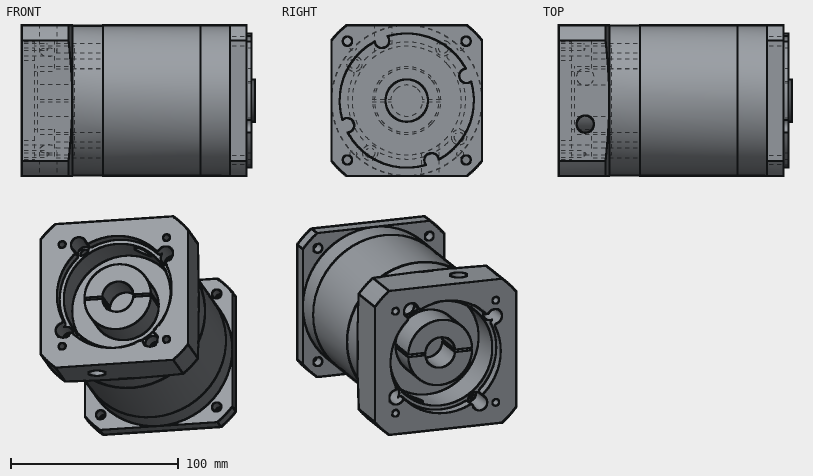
import cadquery as cq
import math


PLATE_END = 30.2
RING_START = 48.4
COVER_START = 106.5
FLANGE_START = 124.1
PILOT_START = 134.1
BOSS_START = 137.0
OVERALL_LENGTH = 139.0

SQUARE_WIDTH = 90.0
BODY_RADIUS = SQUARE_WIDTH / 2
CORNER_RADIUS = 57.5

CONE_START = 28.0
HOUSING_RADIUS = 44.8
MOTOR_PILOT_RADIUS = 35.0
MOTOR_PILOT_DEPTH = 7.8
ADAPTER_BORE_RADIUS = 32.5
ADAPTER_BORE_DEPTH = 31.4
BOLT_CIRCLE_RADIUS = 38.1
BOLT_PATTERN_TWIST = 10.0
BOLT_HOLE_RADIUS = 2.9
BOLT_HEAD_RADIUS = 4.6
BOLT_HEAD_DEPTH = 19.5
BOLT_POCKET_FILLET = 1.5
MOTOR_HOLE_CIRCLE_RADIUS = 45.0
MOTOR_HOLE_RADIUS = 2.1
MOTOR_HOLE_DEPTH = 15.0
DRILL_TIP_ANGLE = 118.0
ACCESS_HOLE_X = 15.8
ACCESS_HOLE_OFFSET = 14.0
ACCESS_HOLE_RADIUS = 5.1

HUB_START = 9.5
COLLAR_RADIUS = 20.3
NECK_RADIUS = 19.2
SHAFT_BORE_RADIUS = 9.5
CLAMP_SLIT_WIDTH = 1.5

FLANGE_HOLE_CIRCLE_RADIUS = 50.0
FLANGE_HOLE_RADIUS = 2.8
PILOT_RADIUS = 40.0
NOTCH_CIRCLE_RADIUS = 38.5
NOTCH_RADIUS = 4.3
NOTCH_PATTERN_TWIST = 22.5
BOSS_RADIUS = 12.6

DIAGONAL = 45.0
QUARTER_TURN = 90.0
FULL_TURN = 360.0


def cylinder(radius, start, end):
    """Solid cylinder on the X axis from X = start to X = end."""
    return cq.Workplane("YZ", origin=(start, 0, 0)).circle(radius).extrude(end - start)


def four_cylinders(radius, circle_radius, first_angle, start, end):
    """Four cylinders along X, evenly spaced on a circle; angles run from +Y towards +Z."""
    return (
        cq.Workplane("YZ", origin=(start, 0, 0))
        .polarArray(circle_radius, first_angle, FULL_TURN, 4)
        .circle(radius)
        .extrude(end - start)
    )


def square_plate(start, end):
    """Square plate whose corners are turned to CORNER_RADIUS."""
    block = (
        cq.Workplane("YZ", origin=(start, 0, 0))
        .rect(SQUARE_WIDTH, SQUARE_WIDTH)
        .extrude(end - start)
    )
    return block.intersect(cylinder(CORNER_RADIUS, start, end))


def turned_back_envelope():
    """Revolved envelope that slopes the back of the plate's corners down to the round housing."""
    return (
        cq.Workplane("XY")
        .moveTo(0, 0)
        .lineTo(0, CORNER_RADIUS)
        .lineTo(CONE_START, CORNER_RADIUS)
        .lineTo(PLATE_END, HOUSING_RADIUS)
        .lineTo(PLATE_END, 0)
        .close()
        .revolve(FULL_TURN, (0, 0, 0), (1, 0, 0))
    )


def motor_recess():
    """Motor pilot recess with four blended-in bolt-head pockets and their bolt holes."""
    bolt_angle = DIAGONAL + BOLT_PATTERN_TWIST
    recess = cylinder(MOTOR_PILOT_RADIUS, 0, MOTOR_PILOT_DEPTH)
    pockets = four_cylinders(
        BOLT_HEAD_RADIUS, BOLT_CIRCLE_RADIUS, bolt_angle, 0, MOTOR_PILOT_DEPTH
    )
    joined = recess.union(pockets)
    crossing_angle = math.degrees(
        math.acos(
            (MOTOR_PILOT_RADIUS**2 + BOLT_CIRCLE_RADIUS**2 - BOLT_HEAD_RADIUS**2)
            / (2 * MOTOR_PILOT_RADIUS * BOLT_CIRCLE_RADIUS)
        )
    )
    for quarter in range(4):
        for side in (-1, 1):
            angle = math.radians(bolt_angle + quarter * QUARTER_TURN + side * crossing_angle)
            crossing = (
                MOTOR_PILOT_DEPTH / 2,
                MOTOR_PILOT_RADIUS * math.cos(angle),
                MOTOR_PILOT_RADIUS * math.sin(angle),
            )
            junction = cq.selectors.NearestToPointSelector(crossing)
            joined = joined.edges(junction).fillet(BOLT_POCKET_FILLET)
    deep_pockets = four_cylinders(
        BOLT_HEAD_RADIUS, BOLT_CIRCLE_RADIUS, bolt_angle, 0, BOLT_HEAD_DEPTH
    )
    bolt_holes = four_cylinders(
        BOLT_HOLE_RADIUS, BOLT_CIRCLE_RADIUS, bolt_angle, 0, RING_START
    )
    return joined.union(deep_pockets).union(bolt_holes)


def motor_screw_holes():
    """Four blind drilled holes with conical ends for the motor screws."""
    tip_length = MOTOR_HOLE_RADIUS / math.tan(math.radians(DRILL_TIP_ANGLE / 2))
    drill = (
        cq.Workplane("XY")
        .moveTo(0, 0)
        .lineTo(0, MOTOR_HOLE_RADIUS)
        .lineTo(MOTOR_HOLE_DEPTH, MOTOR_HOLE_RADIUS)
        .lineTo(MOTOR_HOLE_DEPTH + tip_length, 0)
        .close()
        .revolve(FULL_TURN, (0, 0, 0), (1, 0, 0))
        .translate((0, MOTOR_HOLE_CIRCLE_RADIUS, 0))
    )
    holes = cq.Workplane("XY")
    for quarter in range(4):
        angle = DIAGONAL + quarter * QUARTER_TURN
        holes = holes.add(drill.rotate((0, 0, 0), (1, 0, 0), angle))
    return holes.combine()


def access_holes():
    """Two opposite wrench holes, from the top and bottom faces into the adapter bore."""
    top_hole = (
        cq.Workplane("XY", origin=(ACCESS_HOLE_X, -ACCESS_HOLE_OFFSET, 0))
        .circle(ACCESS_HOLE_RADIUS)
        .extrude(BODY_RADIUS)
    )
    bottom_hole = top_hole.rotate((0, 0, 0), (1, 0, 0), FULL_TURN / 2)
    return top_hole.union(bottom_hole)


def make_motor_adapter():
    """Square plate and round housing in one piece, bored for the hub and drilled for its screws."""
    plate = square_plate(0, PLATE_END).intersect(turned_back_envelope())
    housing = cylinder(HOUSING_RADIUS, PLATE_END, RING_START)
    return (
        plate.union(housing)
        .cut(cylinder(ADAPTER_BORE_RADIUS, 0, ADAPTER_BORE_DEPTH))
        .cut(cylinder(NECK_RADIUS, ADAPTER_BORE_DEPTH, RING_START))
        .cut(motor_recess())
        .cut(motor_screw_holes())
        .cut(access_holes())
    )


def make_clamping_hub():
    """Hub with a blind shaft bore and a slit that splits the collar into two halves."""
    slit = (
        cq.Workplane("YZ", origin=(HUB_START, 0, 0))
        .rect(2 * COLLAR_RADIUS, CLAMP_SLIT_WIDTH)
        .extrude(ADAPTER_BORE_DEPTH - HUB_START)
    )
    return (
        cylinder(COLLAR_RADIUS, HUB_START, ADAPTER_BORE_DEPTH)
        .cut(slit)
        .union(cylinder(NECK_RADIUS, ADAPTER_BORE_DEPTH, RING_START))
        .cut(cylinder(SHAFT_BORE_RADIUS, HUB_START, ADAPTER_BORE_DEPTH))
    )


def make_ring_gear():
    """Plain round middle section."""
    return cylinder(BODY_RADIUS, RING_START, COVER_START)


def make_output_cover():
    """Round cover with a square mounting flange, a notched pilot and a central boss."""
    flange = square_plate(FLANGE_START, PILOT_START).cut(
        four_cylinders(
            FLANGE_HOLE_RADIUS, FLANGE_HOLE_CIRCLE_RADIUS, DIAGONAL, FLANGE_START, PILOT_START
        )
    )
    pilot = cylinder(PILOT_RADIUS, PILOT_START, BOSS_START).cut(
        four_cylinders(
            NOTCH_RADIUS, NOTCH_CIRCLE_RADIUS, NOTCH_PATTERN_TWIST, PILOT_START, BOSS_START
        )
    )
    return (
        cylinder(BODY_RADIUS, COVER_START, FLANGE_START)
        .union(flange)
        .union(pilot)
        .union(cylinder(BOSS_RADIUS, BOSS_START, OVERALL_LENGTH))
    )


motor_adapter = make_motor_adapter()
clamping_hub = make_clamping_hub()
ring_gear = make_ring_gear()
output_cover = make_output_cover()

result = cq.Compound.makeCompound(
    [motor_adapter.val(), clamping_hub.val(), ring_gear.val(), output_cover.val()]
)